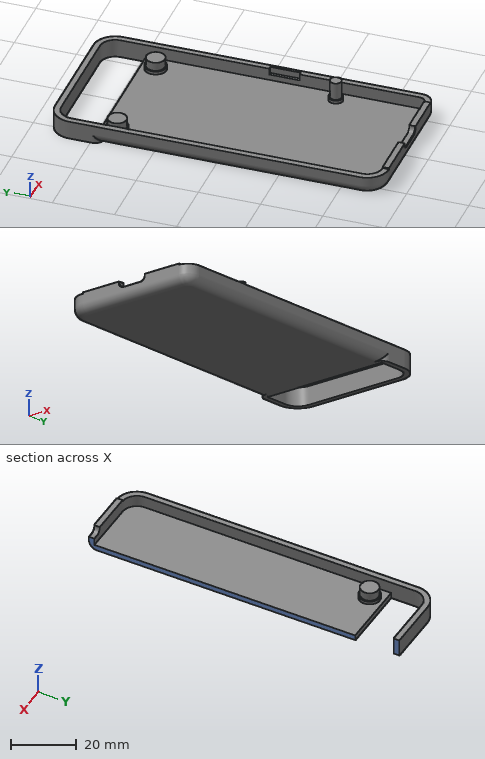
import cadquery as cq

width = 49.7
length = 107.4
rim_height = 6.1
wall = 2.0
floor_thickness = 2.0
corner_radius = 7.0
small_corner_radius = 4.3
bottom_fillet = 3.0

window_depth = 15.3
foot_depth = 17.3

lip_rise = 0.4
notch_width = 10.0
notch_floor = 4.5
notch_radius = 1.7
notch_chamfer = 0.2
notch_center_x = 26.5

recess_length = 9.8
recess_center_y = 47.8
recess_height = 2.1
recess_depth = wall / 2

collar_height = 1.1
large_pin_diameter = 6.0
large_collar_diameter = 7.0
large_pin_top = 6.0
large_pin_y = 87.3
large_pin_xs = (6.9, 42.4)
small_pin_diameter = 3.7
small_collar_diameter = 4.6
small_pin_top = 9.0
small_pin_x = 44.0
small_pin_y = 30.0


def box(x_start, x_end, y_start, y_end, z_start, z_end):
    """Box spanning the given limits."""
    size = (x_end - x_start, y_end - y_start, z_end - z_start)
    return cq.Workplane("XY").box(*size, centered=False).translate((x_start, y_start, z_start))


def outline_prism(inset, z_start, z_end):
    """Prism on the tray outline, moved inward by inset."""
    prism = box(inset, width - inset, inset, length - inset, z_start, z_end)
    prism = prism.edges("|Z").edges("<X or >Y").fillet(corner_radius - inset)
    return prism.edges("|Z").edges(">X").edges("<Y").fillet(small_corner_radius - inset)


def stepped_pin(x, y, diameter, collar_diameter, top):
    """Pin with a wider collar at its foot; both start at the base to merge with the floor."""
    collar_top = floor_thickness + collar_height
    collar = cq.Workplane("XY").center(x, y).circle(collar_diameter / 2).extrude(collar_top)
    pin = cq.Workplane("XY").center(x, y).circle(diameter / 2).extrude(top)
    return collar.union(pin)


full_body = outline_prism(0, 0, rim_height)
foot = box(0, width, length - foot_depth, length, 0, rim_height)
foot = foot.edges("|Z and <Y").fillet(bottom_fillet)
foot = foot.intersect(full_body)
body = full_body.faces("<Z").edges().fillet(bottom_fillet).union(foot)

lip_top = rim_height + lip_rise
lip = box(corner_radius, width - small_corner_radius, 0, wall, bottom_fillet, lip_top)
body = body.union(lip.intersect(outline_prism(0, 0, lip_top)))

body = body.cut(outline_prism(wall, floor_thickness, small_pin_top))
window = outline_prism(wall, 0, rim_height).intersect(
    box(0, width, length - window_depth, length, 0, rim_height)
)
body = body.cut(window)

notch = box(
    notch_center_x - notch_width / 2,
    notch_center_x + notch_width / 2,
    0,
    wall,
    notch_floor,
    lip_top,
)
body = body.cut(notch.edges("|Y and <Z").fillet(notch_radius))
tolerance = 0.01
notch_rim = cq.selectors.BoxSelector(
    (notch_center_x - notch_width / 2 - tolerance, -tolerance, notch_floor - tolerance),
    (notch_center_x + notch_width / 2 + tolerance, tolerance, lip_top - tolerance),
)
body = body.edges(notch_rim).chamfer(notch_chamfer)

recess = box(
    width - wall,
    width - wall + recess_depth,
    recess_center_y - recess_length / 2,
    recess_center_y + recess_length / 2,
    rim_height - recess_height,
    rim_height,
)
body = body.cut(recess)

for pin_x in large_pin_xs:
    body = body.union(
        stepped_pin(pin_x, large_pin_y, large_pin_diameter, large_collar_diameter, large_pin_top)
    )
body = body.union(
    stepped_pin(small_pin_x, small_pin_y, small_pin_diameter, small_collar_diameter, small_pin_top)
)

result = body